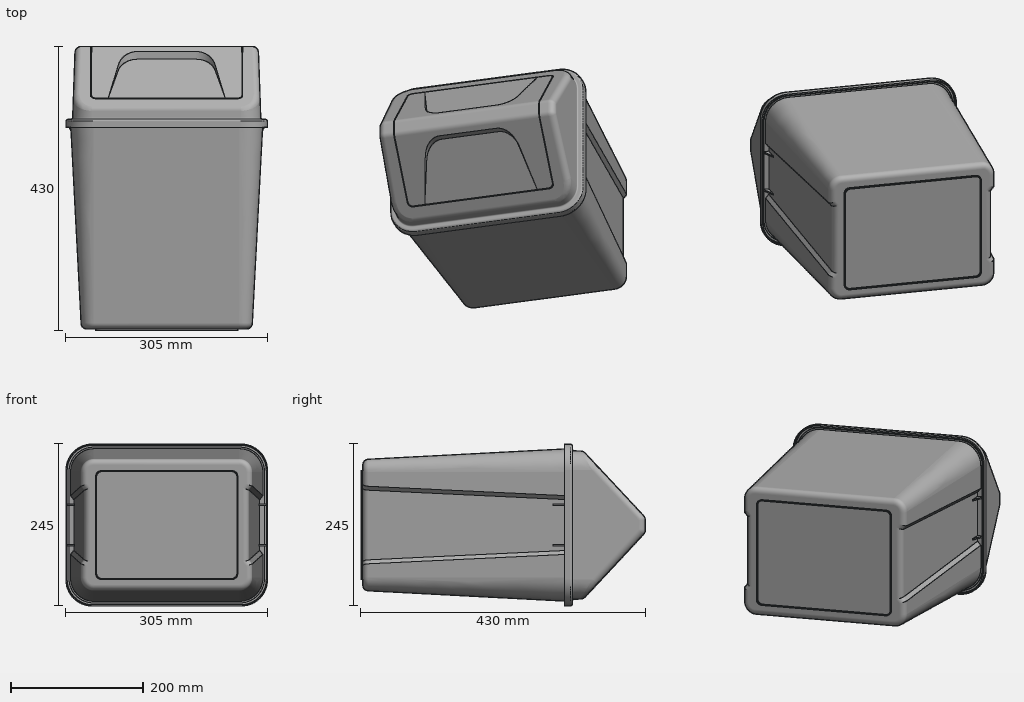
import cadquery as cq
import math


total_height = 430.0
bin_bottom = 2.5
skirt_bottom = 307.5
flange_top = 320.0

flange_x = 305.0
flange_z = 245.0
flange_corner = 40.0
flange_edge_radius = 4.0
skirt_wall = 2.0
flange_plate = 3.0
skirt_ceiling = flange_top - flange_plate

hood_inset = 10.0
hood_draft = 2.0
hood_edge_radius = 10.0
hood_root_radius = 2.0
eave_height = 335.6
eave_half_z = 112.5
ridge_half_z = 11.3
roof_drop = total_height - eave_height
roof_run = eave_half_z - ridge_half_z
roof_length = math.hypot(roof_drop, roof_run)
down_y = -roof_drop / roof_length
down_z = roof_run / roof_length

flap_x = 227.4
flap_length = 114.8
flap_thickness = 14.0
flap_corner = 7.0
flap_side_gap = 1.2
flap_end_gap = 1.5

recess_top_y = 422.2
recess_ledge = 11.7
recess_top_half_x = 67.0
recess_bottom_half_x = 88.5
recess_corner = 30.0

bin_x = 290.4
bin_z = 230.4
bin_corner = 35.2
bin_draft = 3.0
bin_bottom_radius = 9.0
wall_slope = math.tan(math.radians(bin_draft))

lip_bottom = 314.0
lip_x = flange_x - 2 * skirt_wall
lip_z = flange_z - 2 * skirt_wall
lip_corner = flange_corner - skirt_wall
collar_bottom = 312.0
collar_x = 295.5
collar_z = 235.5
collar_corner = 37.0

panel_depth = 5.0
panel_flank_angle = 50.0
panel_half_z_bottom = 59.0
panel_half_z_top = 44.5
panel_overrun = 30.0

gusset_z = 30.5
gusset_thickness = 2.0
gusset_height = 24.0
gusset_embed = 1.0

foot_x = 215.0
foot_z = 164.5
foot_corner = 9.0
foot_width = 1.5


def rounded_block(y_start, y_end, size_x, size_z, corner, draft=0.0):
    """Rounded rectangle at y_start, swept to y_end and shrinking by the draft angle."""
    section = cq.Sketch().rect(size_x, size_z).vertices().fillet(corner)
    plane = cq.Workplane("XZ", origin=(0, y_start, 0))
    return plane.placeSketch(section).extrude(y_start - y_end, taper=draft)


def both_ends(body):
    """The body together with its mirror image on the other side of X = 0."""
    return body, body.mirror("YZ")


def wall_half_x(y):
    """Half-width in X of the drafted bin wall at height y."""
    return bin_x / 2 - (skirt_bottom - y) * wall_slope


def hand_panel():
    """Cutter for the sunken panel in the +X end wall, its floor parallel to the wall."""
    wall_height = skirt_bottom - bin_bottom
    spread = (panel_half_z_bottom - panel_half_z_top) / wall_height
    half_top = panel_half_z_top - spread * panel_overrun
    half_bottom = panel_half_z_bottom + spread * panel_overrun
    top = -panel_overrun
    bottom = wall_height + panel_overrun
    draft = math.radians(bin_draft)
    wall_plane = cq.Plane(
        origin=(bin_x / 2, skirt_bottom, 0),
        xDir=(0, 0, 1),
        normal=(-math.cos(draft), math.sin(draft), 0),
    )
    outline = [(-half_top, -top), (half_top, -top), (half_bottom, -bottom), (-half_bottom, -bottom)]
    return cq.Workplane(wall_plane).polyline(outline).close().extrude(panel_depth, taper=panel_flank_angle)


def gusset(z):
    """Triangular web between the panel floor and the lip on the +X end wall."""
    low = lip_bottom - gusset_height
    root = panel_depth + gusset_embed
    outline = [
        (lip_x / 2, lip_bottom),
        (wall_half_x(low) - panel_depth, low),
        (wall_half_x(low) - root, low),
        (wall_half_x(lip_bottom) - root, lip_bottom),
    ]
    plane = cq.Workplane("XY", origin=(0, 0, z - gusset_thickness / 2))
    return plane.polyline(outline).close().extrude(gusset_thickness)


def foot_rim():
    """Narrow raised rim that the bin stands on."""
    outer = rounded_block(bin_bottom, 0, foot_x, foot_z, foot_corner)
    inner_x = foot_x - 2 * foot_width
    inner_z = foot_z - 2 * foot_width
    inner = rounded_block(bin_bottom, 0, inner_x, inner_z, foot_corner - foot_width)
    return outer.cut(inner)


def make_bin():
    """Drafted bin with sunken end panels, lip, gussets and foot rim."""
    growth = 2 * (collar_bottom - skirt_bottom) * wall_slope
    top_x = bin_x + growth
    top_z = bin_z + growth
    top_corner = bin_corner + growth / 2
    body = rounded_block(collar_bottom, bin_bottom, top_x, top_z, top_corner, bin_draft)
    for panel in both_ends(hand_panel()):
        body = body.cut(panel)
    body = body.faces("<Y").edges().fillet(bin_bottom_radius)
    body = body.union(rounded_block(lip_bottom, collar_bottom, collar_x, collar_z, collar_corner))
    body = body.union(rounded_block(skirt_ceiling, lip_bottom, lip_x, lip_z, lip_corner))
    for z in (-gusset_z, gusset_z):
        for web in both_ends(gusset(z)):
            body = body.union(web)
    return body.union(foot_rim())


def roof_point(along, depth):
    """(Y, Z) on the +Z slope: distance down from the ridge corner, and depth below the surface."""
    y = total_height + along * down_y - depth * down_z
    z = ridge_half_z + along * down_z + depth * down_y
    return y, z


def roof_panel(size_x, length, corner):
    """V-shaped panel lying in the roof surface on both sides of the ridge."""
    inner_y, inner_z = roof_point(0, flap_thickness)
    inner_apex_y = inner_y + inner_z * roof_drop / roof_run
    slope = [roof_point(0, 0), roof_point(length, 0), roof_point(length, flap_thickness)]
    far_slope = [(y, -z) for y, z in reversed(slope)]
    outline = slope + [(inner_apex_y, 0)] + far_slope
    panel = cq.Workplane("YZ", origin=(-size_x / 2, 0, 0)).polyline(outline).close().extrude(size_x)
    panel = panel.edges("|X and >Y").fillet(hood_edge_radius)
    for side in (-1, 1):
        downhill = cq.Vector(0, down_y, side * down_z)
        end_face = panel.faces(cq.selectors.DirectionMinMaxSelector(downhill))
        panel = end_face.edges("not |X").fillet(corner)
    return panel


def finger_recess():
    """Cutter for the recess on the +Z slope: level ledge at the top, floor running out at the flap end."""
    end_y, end_z = roof_point(flap_length, 0)
    ledge_z = ridge_half_z + (total_height - recess_top_y) * roof_run / roof_drop
    far_z = 2 * end_z - ledge_z
    far_half_x = 2 * recess_bottom_half_x - recess_top_half_x
    shape = [
        (-recess_top_half_x, ledge_z),
        (recess_top_half_x, ledge_z),
        (far_half_x, far_z),
        (-far_half_x, far_z),
    ]
    side_walls = (
        cq.Workplane("XZ", origin=(0, total_height, 0))
        .polyline(shape)
        .close()
        .extrude(total_height)
        .edges("|Y and <Z")
        .fillet(recess_corner)
    )
    floor = [
        (recess_top_y - recess_ledge, ledge_z),
        (end_y, end_z),
        (total_height, end_z),
        (total_height, ledge_z),
    ]
    above_floor = cq.Workplane("YZ", origin=(-flange_x / 2, 0, 0)).polyline(floor).close().extrude(flange_x)
    return side_walls.intersect(above_floor)


def make_flap():
    """Swing flap with a finger recess on each slope."""
    panel = roof_panel(flap_x, flap_length, flap_corner)
    recess = finger_recess()
    return panel.cut(recess).cut(recess.mirror("XY"))


hood_x = flange_x - 2 * hood_inset
hood_z = flange_z - 2 * hood_inset


def make_hood():
    """Drafted hood under a pitched roof, its roof edges rounded."""
    hood = rounded_block(flange_top, total_height, hood_x, hood_z, flange_corner - hood_inset, hood_draft)
    overhang_y = eave_height - (flange_z - eave_half_z) * roof_drop / roof_run
    gable = [
        (flange_top, -flange_z),
        (overhang_y, -flange_z),
        (total_height, -ridge_half_z),
        (total_height, ridge_half_z),
        (overhang_y, flange_z),
        (flange_top, flange_z),
    ]
    roof = cq.Workplane("YZ", origin=(-flange_x / 2, 0, 0)).polyline(gable).close().extrude(flange_x)
    hood = hood.intersect(roof)
    edges = hood.faces(">Y").edges()
    for side in (-1, 1):
        outward = cq.Vector(0, down_z, -side * down_y)
        edges = edges.add(hood.faces(cq.selectors.DirectionMinMaxSelector(outward)).edges())
    return edges.fillet(hood_edge_radius)


def make_lid():
    """Hood on a skirted flange, with a seat for the flap in its roof."""
    flange = rounded_block(flange_top, skirt_bottom, flange_x, flange_z, flange_corner)
    flange = flange.faces(">Y").edges().fillet(flange_edge_radius)
    skirt_hollow = rounded_block(skirt_ceiling, skirt_bottom, lip_x, lip_z, lip_corner)
    lid = make_hood().union(flange.cut(skirt_hollow))
    margin = 0.5
    root_box = cq.selectors.BoxSelector(
        (-hood_x / 2 - margin, flange_top - margin, -hood_z / 2 - margin),
        (hood_x / 2 + margin, flange_top + margin, hood_z / 2 + margin),
        boundingbox=True,
    )
    lid = lid.edges(root_box).fillet(hood_root_radius)
    seat_x = flap_x + 2 * flap_side_gap
    seat = roof_panel(seat_x, flap_length + flap_end_gap, flap_corner + flap_side_gap)
    return lid.cut(seat)


waste_bin = make_bin()
lid = make_lid()
flap = make_flap()
result = cq.Compound.makeCompound([*waste_bin.solids().vals(), *lid.solids().vals(), *flap.solids().vals()])